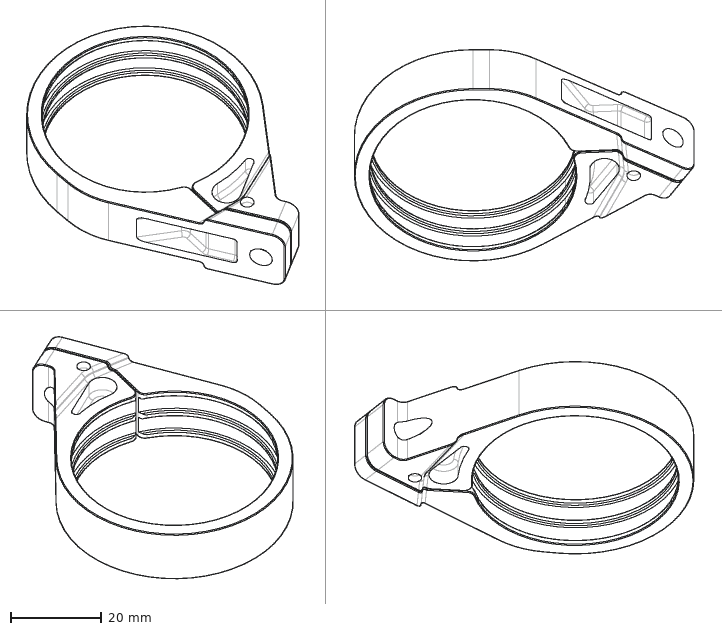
import cadquery as cq
import math

ring_radius = 26.25
ring_height = 12.95
bore_radius = 22.8
edge_chamfer = 0.2

groove_radius = 23.9
groove_inner_z = 0.77
groove_outer_z = 5.0
lip_chamfer = 0.35

overall_length = 67.15
ear_end_x = overall_length - ring_radius
ear_height = 16.5
ear_front_y = -27.25
ear_back_y = -16.7
ear_corner_radius = 3.0
ear_blend_radius = 2.0
under_radius = 20.15
back_tangent_angle = math.radians(23)

step_start = (20.35, ear_front_y)
step_corner = (26.9, -17.8)
step_draft = 10.0
step_end_direction = math.radians(82)
step_bend_radius = 4.7
step_fillet = 0.95

slit_width = 0.2
slit_y = -22.8
slit_bend_x = 23.5
slit_angle = math.radians(-33.8)
slit_mouth_radius = 1.9

bolt_diameter = 5.25
bolt_x = 35.3

pocket_fillet = 1.0
web_pocket_depth = 4.55
web_pocket_inner_radius = 26.0
web_pocket_big_radius = 3.2
web_pocket_big_angle = math.radians(-34.6)
web_pocket_tip_radius = 1.015
web_pocket_tip_angle = math.radians(-14.1)
dimple_radius = 1.5
dimple_depth = 2.7
dimple_center = (29.75, -19.6)
side_pocket_height = 7.85
side_pocket_start_x = 6.5
side_pocket_valley = (16.5, -21.95)
side_pocket_ridge = (22.35, -25.85)
side_pocket_end_x = 29.8
valley_fillet = 2.0
ridge_fillet = 1.35

overlap = 3.35
envelope_margin = 13.4


def polar(radius, angle):
    return (radius * math.cos(angle), radius * math.sin(angle))


def shifted(point, distance, angle):
    dx, dy = polar(distance, angle)
    return (point[0] + dx, point[1] + dy)


def outline_solid():
    """Full-height prism of the outer outline: ring, underside bulge and ears."""
    under_center_y = ear_front_y + under_radius
    under_normal = math.pi + math.asin((ring_radius - under_radius) / -under_center_y)
    under_tangent = shifted((0, under_center_y), under_radius, under_normal)
    under_middle = shifted((0, under_center_y), under_radius, (under_normal + 1.5 * math.pi) / 2)
    ring_middle = (back_tangent_angle + under_normal) / 2
    corner_x = (ring_radius - ear_back_y * math.sin(back_tangent_angle)) / math.cos(back_tangent_angle)
    prism = (
        cq.Workplane("XY")
        .moveTo(0, ear_front_y)
        .lineTo(ear_end_x, ear_front_y)
        .lineTo(ear_end_x, ear_back_y)
        .lineTo(corner_x, ear_back_y)
        .lineTo(*polar(ring_radius, back_tangent_angle))
        .threePointArc(polar(ring_radius, ring_middle), polar(ring_radius, under_normal))
        .lineTo(*under_tangent)
        .threePointArc(under_middle, (0, ear_front_y))
        .close()
        .extrude(ear_height / 2, both=True)
    )
    blend_edge = cq.selectors.NearestToPointSelector((corner_x, ear_back_y, 0))
    prism = prism.edges("|Z").edges(blend_edge).fillet(ear_blend_radius)
    return prism.edges("|Y and >X").fillet(ear_corner_radius)


def stepped_envelope():
    """Plate as thick as the ring carrying the thicker ear block, with the step between them rounded."""
    start_angle = math.atan2(step_corner[1] - step_start[1], step_corner[0] - step_start[0])
    bend_setback = step_bend_radius * math.tan((step_end_direction - start_angle) / 2)
    block_start = shifted(step_start, -envelope_margin, start_angle)
    block_end = shifted(step_corner, overall_length, step_end_direction)
    block_far_x = ear_end_x + envelope_margin
    block = (
        cq.Workplane("XY")
        .moveTo(*block_start)
        .lineTo(*shifted(step_corner, -bend_setback, start_angle))
        .tangentArcPoint(shifted(step_corner, bend_setback, step_end_direction), relative=False)
        .lineTo(*block_end)
        .lineTo(block_far_x, block_end[1])
        .lineTo(block_far_x, block_start[1])
        .close()
        .extrude(ear_height / 2, taper=step_draft)
    )
    block = block.faces(">Z").edges().fillet(step_fillet)
    plate_size = 4 * overall_length
    plate = cq.Workplane("XY").rect(plate_size, plate_size).extrude(ring_height / 2)
    reach = 0.4 * plate_size
    foot = cq.selectors.BoxSelector(
        (-reach, -reach, overlap), (reach, reach, ring_height / 2 + edge_chamfer)
    )
    upper_half = plate.union(block).edges(foot).fillet(step_fillet)
    return upper_half.union(upper_half.mirror("XY"))


def slit_mouth():
    """Point where the middle of the sloping slit meets the bore."""
    along = slit_bend_x * math.cos(slit_angle) + slit_y * math.sin(slit_angle)
    across = slit_y * math.cos(slit_angle) - slit_bend_x * math.sin(slit_angle)
    distance = along - math.sqrt(bore_radius**2 - across**2)
    return shifted((slit_bend_x, slit_y), -distance, slit_angle)


def slit_cutter():
    """Slit from the bore down to a bend, then straight out between the ears."""
    bend = (slit_bend_x, slit_y)
    inner = shifted(slit_mouth(), -overlap, slit_angle)
    outer_x = ear_end_x + overlap
    half = slit_width / 2
    half_at_bend = half / math.cos(slit_angle / 2)
    normal = slit_angle + math.pi / 2
    bend_normal = (slit_angle + math.pi) / 2
    return (
        cq.Workplane("XY")
        .polyline([
            shifted(inner, half, normal),
            shifted(bend, half_at_bend, bend_normal),
            (outer_x, slit_y + half),
            (outer_x, slit_y - half),
            shifted(bend, -half_at_bend, bend_normal),
            shifted(inner, -half, normal),
        ])
        .close()
        .extrude(ear_height, both=True)
    )


def groove_cutter():
    """Groove above the middle lip, with sloped flanks leading to the lips."""
    flank = lip_chamfer
    return (
        cq.Workplane("XZ")
        .polyline([
            (bore_radius - flank, groove_inner_z - 2 * flank),
            (bore_radius + flank, groove_inner_z),
            (groove_radius, groove_inner_z),
            (groove_radius, groove_outer_z),
            (bore_radius + flank, groove_outer_z),
            (bore_radius - flank, groove_outer_z + 2 * flank),
        ])
        .close()
        .revolve(360, (0, 0), (0, 1))
    )


def web_pocket():
    """Teardrop pocket whose inner wall is concentric with the bore."""
    big_distance = web_pocket_inner_radius + web_pocket_big_radius
    tip_distance = web_pocket_inner_radius + web_pocket_tip_radius
    big_center = polar(big_distance, web_pocket_big_angle)
    tip_center = polar(tip_distance, web_pocket_tip_angle)
    dx = tip_center[0] - big_center[0]
    dy = tip_center[1] - big_center[1]
    outer_normal = math.atan2(dy, dx) - math.acos(
        (web_pocket_big_radius - web_pocket_tip_radius) / math.hypot(dx, dy)
    )
    middle_angle = (web_pocket_big_angle + web_pocket_tip_angle) / 2
    big_far = shifted(big_center, web_pocket_big_radius, (outer_normal + web_pocket_big_angle - math.pi) / 2)
    tip_far = shifted(tip_center, web_pocket_tip_radius, (outer_normal + web_pocket_tip_angle + math.pi) / 2)
    return (
        cq.Workplane("XY")
        .workplane(offset=ring_height / 2 - web_pocket_depth)
        .moveTo(*polar(web_pocket_inner_radius, web_pocket_big_angle))
        .threePointArc(
            polar(web_pocket_inner_radius, middle_angle), polar(web_pocket_inner_radius, web_pocket_tip_angle)
        )
        .threePointArc(tip_far, shifted(tip_center, web_pocket_tip_radius, outer_normal))
        .lineTo(*shifted(big_center, web_pocket_big_radius, outer_normal))
        .threePointArc(big_far, polar(web_pocket_inner_radius, web_pocket_big_angle))
        .close()
        .extrude(ear_height)
        .faces("<Z")
        .edges()
        .fillet(pocket_fillet)
    )


def dimple():
    """Blind round recess with a rounded floor in the ear face."""
    return (
        cq.Workplane("XY", origin=(*dimple_center, ear_height / 2 - dimple_depth))
        .circle(dimple_radius)
        .extrude(ear_height)
        .faces("<Z")
        .edges()
        .fillet(pocket_fillet)
    )


def side_pocket():
    """Pocket in the flat front side: a slope down to a valley, up to a ridge, then a level floor."""
    slope = (side_pocket_valley[1] - ear_front_y) / (side_pocket_valley[0] - side_pocket_start_x)
    outside_y = ear_front_y - overlap
    end_corner = (side_pocket_end_x, side_pocket_ridge[1])
    pocket = (
        cq.Workplane("XY")
        .polyline([
            (side_pocket_start_x - overlap / slope, outside_y),
            side_pocket_valley,
            side_pocket_ridge,
            end_corner,
            (side_pocket_end_x, outside_y),
        ])
        .close()
        .extrude(side_pocket_height / 2, both=True)
    )
    bends = (
        (side_pocket_valley, valley_fillet),
        (side_pocket_ridge, ridge_fillet),
        (end_corner, pocket_fillet),
    )
    for point, radius in bends:
        bend_edge = cq.selectors.NearestToPointSelector((*point, 0))
        pocket = pocket.edges("|Z").edges(bend_edge).fillet(radius)
    return pocket.faces("|Z").edges("not <Y").fillet(pocket_fillet)


def bolt_hole():
    """Cylinder across both ears."""
    return cq.Workplane("XZ", origin=(bolt_x, 0, 0)).circle(bolt_diameter / 2).extrude(overall_length)


def mid_plane_selector():
    """Selects what is centred on the mid-plane, such as the walls and the full-height edges."""
    tolerance = 0.01
    return cq.selectors.BoxSelector(
        (-overall_length, -overall_length, -tolerance), (overall_length, overall_length, tolerance)
    )


def split_ring():
    """Ring and ears with the bore and slit cut, the slit mouth rounded and every rim chamfered."""
    body = outline_solid().intersect(stepped_envelope())
    body = body.cut(cq.Workplane("XY").circle(bore_radius).extrude(ear_height, both=True))
    body = body.cut(slit_cutter())
    mouth_x, mouth_y = slit_mouth()
    mouth = cq.selectors.BoxSelector(
        (mouth_x - slit_width, mouth_y - slit_width, -ear_height),
        (mouth_x + slit_width, mouth_y + slit_width, ear_height),
    )
    body = body.edges("|Z").edges(mouth).fillet(slit_mouth_radius)
    rims = body.faces(mid_plane_selector()).edges("not (|Z or (|Y and >X))")
    return rims.chamfer(edge_chamfer)


result = split_ring()
for cutter in (groove_cutter(), web_pocket(), dimple()):
    result = result.cut(cutter).cut(cutter.mirror("XY"))
result = result.cut(side_pocket()).cut(bolt_hole())